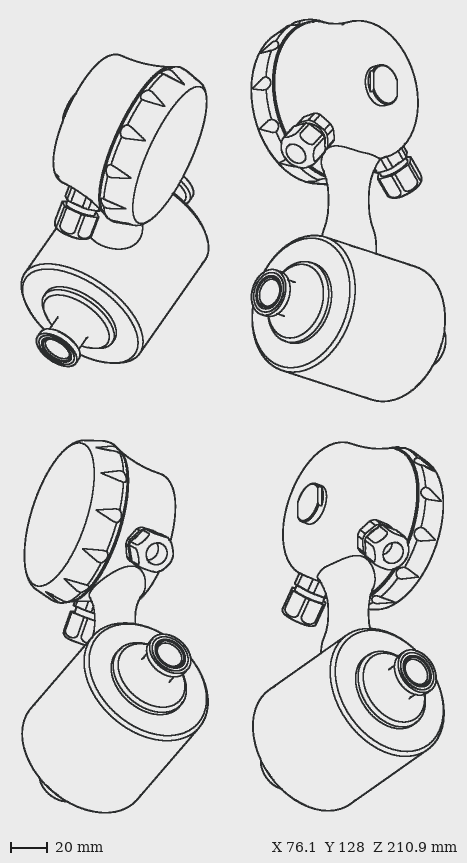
import cadquery as cq
import math


TANK_RADIUS = 76.1 / 2
TANK_HALF_LENGTH = 38.0
TANK_CHAMFER = 2.0
COLLAR_RADIUS = 45.0 / 2
COLLAR_END = 42.3
COLLAR_CHAMFER = 2.0
PIPE_RADIUS = 19.3 / 2
PIPE_ROOT_FILLET = 5.0
PIPE_END = 64.0
FERRULE_RADIUS = 25.4 / 2
FERRULE_RIM_WIDTH = 3.5
FERRULE_BACK_RADIUS = 21.0 / 2
FERRULE_BACK_WIDTH = 1.0
FERRULE_BLEND_LENGTH = 2.0
BORE_RADIUS = 15.0 / 2
BORE_MOUTH_RADIUS = 16.69 / 2
GASKET_GROOVE_OUTER_RADIUS = 22.0 / 2
GASKET_GROOVE_WIDTH = 1.7
GASKET_GROOVE_DEPTH = 0.8

NECK_BASE_RADIUS = 30.0 / 2
NECK_WAIST_RADIUS = 22.0 / 2
NECK_BASE_TOP = 41.6
NECK_FOOT_RADIUS = 14.85
NECK_FOOT_BOTTOM = 44.2
NECK_INFLECTION = 48.6
NECK_WAIST_BOTTOM = 65.2
NECK_WAIST_TOP = 69.5
NECK_FLARE_RADIUS = 42.0
NECK_TOP = 93.0

HEAD_Z = 127.3
BACK_X = -19.0
BACK_CORNER_FILLET = 5.0
BODY_BACK_RADIUS = 38.0
BACK_DISH_RADIUS = 25.4
BOSS_RADIUS = 30.0 / 2
BOSS_X = -21.9
BOSS_FACE_RADIUS = 23.5 / 2
BOSS_FACE_X = -22.5
BODY_FRONT_X = 14.8
BODY_FRONT_RADIUS = 43.7
SEAM_WIDTH = 0.8
SEAM_DEPTH = 0.5
LID_BACK_RADIUS = 43.9
LID_RIDGE_START_X = 18.9
LID_RIDGE_END_X = 21.25
LID_RIDGE_RADIUS = 45.65
LID_SHOULDER_X = 31.5
LID_SHOULDER_RADIUS = 42.9
LID_FACE_X = 34.2
LID_FACE_RADIUS = 81.2 / 2
LID_CROWN_X = 34.85

NOTCH_COUNT = 12
NOTCH_TIP_X = 31.7
NOTCH_TIP_LIFT = 0.1
NOTCH_HALF_ANGLE = 23.0
NOTCH_FLOOR_RISE = 5.4
NOTCH_CONE_LENGTH = 30.0

PLUG_RADIUS = 22.0 / 2
PLUG_RIM_RADIUS = 20.8 / 2
PLUG_RIM_X = -27.1
PLUG_TIP_X = -27.9
PLUG_RIM_CHAMFER = 0.6
PLUG_FLAT_WIDTH = 18.6
PLUG_FLAT_X = -24.6

GLAND_X = -2.06
GLAND_TILT = 45.0
GLAND_ROOT = 30.0
LOCKNUT_END = 44.7
LOCKNUT_FLATS = 19.5
LOCKNUT_ROUND = 20.8
GLAND_COLLAR_DIAMETER = 16.69
CAP_START = 48.3
CAP_END = 62.8
CAP_FLATS = 20.0
CAP_ROUND = 22.0
CAP_END_FILLET = 4.4
CABLE_HOLE_DIAMETER = 12.0


def tangent_arc_mid(start, end):
    """Middle of the arc from start to end that leaves start along the first axis."""
    run = end[0] - start[0]
    rise = end[1] - start[1]
    radius = (run**2 + rise**2) / (2 * rise)
    half_angle = math.atan2(rise, abs(run))
    return (
        start[0] + math.copysign(abs(radius) * math.sin(half_angle), run),
        start[1] + radius * (1 - math.cos(half_angle)),
    )


def make_tank():
    """Chamfered drum along Y."""
    far_end = cq.Workplane("XZ", origin=(0, TANK_HALF_LENGTH, 0))
    tank = far_end.circle(TANK_RADIUS).extrude(2 * TANK_HALF_LENGTH)
    return tank.faces("<Y or >Y").edges().chamfer(TANK_CHAMFER)


def make_pipe_end():
    """Solid collar, pipe and ferrule on the +Y side; profile points are (radius, y)."""
    root_depth = TANK_HALF_LENGTH / 2
    rim_y = PIPE_END - FERRULE_RIM_WIDTH
    back_y = rim_y - FERRULE_BACK_WIDTH
    blend_y = back_y - FERRULE_BLEND_LENGTH
    root_y = COLLAR_END + PIPE_ROOT_FILLET
    blend_start = (blend_y, PIPE_RADIUS)
    blend_end = (back_y, FERRULE_BACK_RADIUS)
    blend_mid = tangent_arc_mid(blend_start, blend_end)
    root_offset = PIPE_ROOT_FILLET * (1 - math.sqrt(0.5))
    return (
        cq.Workplane("XY")
        .moveTo(0, root_depth)
        .lineTo(COLLAR_RADIUS, root_depth)
        .lineTo(COLLAR_RADIUS, COLLAR_END - COLLAR_CHAMFER)
        .lineTo(COLLAR_RADIUS - COLLAR_CHAMFER, COLLAR_END)
        .lineTo(PIPE_RADIUS + PIPE_ROOT_FILLET, COLLAR_END)
        .threePointArc((PIPE_RADIUS + root_offset, COLLAR_END + root_offset), (PIPE_RADIUS, root_y))
        .lineTo(PIPE_RADIUS, blend_y)
        .threePointArc((blend_mid[1], blend_mid[0]), (FERRULE_BACK_RADIUS, back_y))
        .lineTo(FERRULE_RADIUS, rim_y)
        .lineTo(FERRULE_RADIUS, PIPE_END)
        .lineTo(0, PIPE_END)
        .close()
        .revolve(360, (0, 0), (0, 1))
    )


def make_bore():
    """Straight bore through the whole pipe."""
    far_end = cq.Workplane("XZ", origin=(0, PIPE_END, 0))
    return far_end.circle(BORE_RADIUS).extrude(2 * PIPE_END)


def make_bore_mouth():
    """Taper that opens the bore at the +Y ferrule face."""
    mouth_y = PIPE_END - (BORE_MOUTH_RADIUS - BORE_RADIUS)
    return (
        cq.Workplane("XY")
        .moveTo(0, mouth_y)
        .lineTo(BORE_RADIUS, mouth_y)
        .lineTo(BORE_MOUTH_RADIUS, PIPE_END)
        .lineTo(0, PIPE_END)
        .close()
        .revolve(360, (0, 0), (0, 1))
    )


def make_gasket_groove():
    """Ring of round section, sunk into the +Y ferrule face."""
    inner_radius = GASKET_GROOVE_OUTER_RADIUS - GASKET_GROOVE_WIDTH
    middle_radius = GASKET_GROOVE_OUTER_RADIUS - GASKET_GROOVE_WIDTH / 2
    return (
        cq.Workplane("XY")
        .moveTo(inner_radius, PIPE_END)
        .threePointArc(
            (middle_radius, PIPE_END - GASKET_GROOVE_DEPTH),
            (GASKET_GROOVE_OUTER_RADIUS, PIPE_END),
        )
        .close()
        .revolve(360, (0, 0), (0, 1))
    )


def make_neck():
    """Neck with an S-shaped foot and a flare into the head; points are (radius, z)."""
    foot_share = (NECK_INFLECTION - NECK_FOOT_BOTTOM) / (NECK_WAIST_BOTTOM - NECK_FOOT_BOTTOM)
    inflection_radius = NECK_FOOT_RADIUS - foot_share * (NECK_FOOT_RADIUS - NECK_WAIST_RADIUS)
    foot_mid = tangent_arc_mid(
        (NECK_FOOT_BOTTOM, NECK_FOOT_RADIUS), (NECK_INFLECTION, inflection_radius)
    )
    waist_mid = tangent_arc_mid(
        (NECK_WAIST_BOTTOM, NECK_WAIST_RADIUS), (NECK_INFLECTION, inflection_radius)
    )
    root_z = TANK_RADIUS / 2
    flare_height = NECK_TOP - NECK_WAIST_TOP
    flare_growth = NECK_FLARE_RADIUS - math.sqrt(NECK_FLARE_RADIUS**2 - flare_height**2)
    top_radius = NECK_WAIST_RADIUS + flare_growth
    flare_mid = tangent_arc_mid((NECK_WAIST_TOP, NECK_WAIST_RADIUS), (NECK_TOP, top_radius))
    return (
        cq.Workplane("XZ")
        .moveTo(0, root_z)
        .lineTo(NECK_BASE_RADIUS, root_z)
        .lineTo(NECK_BASE_RADIUS, NECK_BASE_TOP)
        .lineTo(NECK_FOOT_RADIUS, NECK_FOOT_BOTTOM)
        .threePointArc((foot_mid[1], foot_mid[0]), (inflection_radius, NECK_INFLECTION))
        .threePointArc((waist_mid[1], waist_mid[0]), (NECK_WAIST_RADIUS, NECK_WAIST_BOTTOM))
        .lineTo(NECK_WAIST_RADIUS, NECK_WAIST_TOP)
        .threePointArc((flare_mid[1], flare_mid[0]), (top_radius, NECK_TOP))
        .lineTo(0, NECK_TOP)
        .close()
        .revolve(360, (0, 0), (0, 1))
    )


def make_head():
    """Head body and lid around the X axis; profile points are (x, radius)."""
    corner_offset = BACK_CORNER_FILLET * (1 - math.sqrt(0.5))
    body_start = (BACK_X + BACK_CORNER_FILLET, BODY_BACK_RADIUS)
    body_end = (BODY_FRONT_X, BODY_FRONT_RADIUS)
    dish_mid = tangent_arc_mid((BACK_DISH_RADIUS, BACK_X), (BOSS_RADIUS, BOSS_X))
    lid_back_x = BODY_FRONT_X + SEAM_WIDTH
    seam_radius = BODY_FRONT_RADIUS - SEAM_DEPTH
    crown_mid = tangent_arc_mid((0, LID_CROWN_X), (LID_FACE_RADIUS, LID_FACE_X))
    return (
        cq.Workplane("XY")
        .moveTo(BOSS_FACE_X, 0)
        .lineTo(BOSS_FACE_X, BOSS_FACE_RADIUS)
        .lineTo(BOSS_X, BOSS_RADIUS)
        .threePointArc((dish_mid[1], dish_mid[0]), (BACK_X, BACK_DISH_RADIUS))
        .lineTo(BACK_X, BODY_BACK_RADIUS - BACK_CORNER_FILLET)
        .threePointArc((BACK_X + corner_offset, BODY_BACK_RADIUS - corner_offset), body_start)
        .threePointArc(tangent_arc_mid(body_start, body_end), body_end)
        .lineTo(BODY_FRONT_X, seam_radius)
        .lineTo(lid_back_x, seam_radius)
        .lineTo(lid_back_x, LID_BACK_RADIUS)
        .lineTo(LID_RIDGE_START_X, LID_RIDGE_RADIUS)
        .lineTo(LID_RIDGE_END_X, LID_RIDGE_RADIUS)
        .lineTo(LID_SHOULDER_X, LID_SHOULDER_RADIUS)
        .tangentArcPoint((LID_FACE_X, LID_FACE_RADIUS), relative=False)
        .threePointArc((crown_mid[1], crown_mid[0]), (LID_CROWN_X, 0))
        .close()
        .revolve(360, (0, 0), (1, 0))
    )


def make_notches():
    """Conical finger notches, their tips just above the sloping lid surface."""
    slope = (LID_RIDGE_RADIUS - LID_SHOULDER_RADIUS) / (LID_SHOULDER_X - LID_RIDGE_END_X)
    tip_radius = LID_SHOULDER_RADIUS + slope * (LID_SHOULDER_X - NOTCH_TIP_X) + NOTCH_TIP_LIFT
    axis_rise = math.radians(NOTCH_HALF_ANGLE + NOTCH_FLOOR_RISE)
    base_radius = NOTCH_CONE_LENGTH * math.tan(math.radians(NOTCH_HALF_ANGLE))
    cone = cq.Solid.makeCone(
        0,
        base_radius,
        NOTCH_CONE_LENGTH,
        pnt=cq.Vector(NOTCH_TIP_X, 0, tip_radius),
        dir=cq.Vector(-math.cos(axis_rise), 0, math.sin(axis_rise)),
    )
    notches = cq.Workplane("XY")
    for index in range(NOTCH_COUNT):
        notches = notches.add(cone.rotate((0, 0, 0), (1, 0, 0), index * 360 / NOTCH_COUNT))
    return notches


def make_plug():
    """Back plug with a shallow conical end and two flats."""
    plug = (
        cq.Workplane("XY")
        .moveTo(BACK_X, 0)
        .lineTo(BACK_X, PLUG_RADIUS)
        .lineTo(PLUG_RIM_X + PLUG_RIM_CHAMFER, PLUG_RADIUS)
        .lineTo(PLUG_RIM_X, PLUG_RIM_RADIUS)
        .lineTo(PLUG_TIP_X, 0)
        .close()
        .revolve(360, (0, 0), (1, 0))
    )
    flat_length = PLUG_FLAT_X - PLUG_TIP_X
    flat_cut = cq.Workplane("XY").box(flat_length, PLUG_RADIUS, 2 * PLUG_RADIUS)
    for side in (-1, 1):
        cut_y = side * (PLUG_FLAT_WIDTH + PLUG_RADIUS) / 2
        plug = plug.cut(flat_cut.translate((PLUG_FLAT_X - flat_length / 2, cut_y, 0)))
    return plug


def make_hex(across_flats, round_diameter, start, end):
    """Hexagon along Z with corners facing +X and -X, and the round that trims them."""
    corner_diameter = across_flats / math.cos(math.pi / 6)
    base = cq.Workplane("XY").workplane(offset=start)
    hexagon = base.polygon(6, corner_diameter).extrude(end - start)
    trimming_round = base.circle(round_diameter / 2).extrude(end - start)
    return hexagon, trimming_round


def make_gland():
    """Cable gland along +Z: locknut, round collar and cap nut with a cable hole."""
    lock_hex, lock_round = make_hex(LOCKNUT_FLATS, LOCKNUT_ROUND, GLAND_ROOT, LOCKNUT_END)
    collar = (
        cq.Workplane("XY")
        .workplane(offset=GLAND_ROOT)
        .circle(GLAND_COLLAR_DIAMETER / 2)
        .extrude(CAP_START - GLAND_ROOT)
    )
    cap_hex, cap_round = make_hex(CAP_FLATS, CAP_ROUND, CAP_START, CAP_END)
    cap = cap_hex.intersect(cap_round.faces(">Z").edges().fillet(CAP_END_FILLET))
    gland = lock_hex.intersect(lock_round).union(collar).union(cap)
    hole = (
        cq.Workplane("XY")
        .workplane(offset=CAP_START)
        .circle(CABLE_HOLE_DIAMETER / 2)
        .extrude(CAP_END - CAP_START)
    )
    return gland.cut(hole)


def place_gland(gland, side):
    """Turn a gland outward and down from the head axis, to +Y or -Y by side."""
    turn = side * (180 - GLAND_TILT)
    return gland.rotate((0, 0, 0), (1, 0, 0), turn).translate((GLAND_X, 0, HEAD_Z))


head = make_head().rotate((0, 0, 0), (1, 0, 0), 180 / NOTCH_COUNT)
for notch in make_notches().vals():
    head = head.cut(cq.Workplane(notch))
head = head.union(make_plug()).translate((0, 0, HEAD_Z))

pipe_end = make_pipe_end()
sensor = make_tank().union(pipe_end).union(pipe_end.mirror("XZ"))
sensor = sensor.union(make_neck()).union(head)
cable_gland = make_gland()
for gland_side in (-1, 1):
    sensor = sensor.union(place_gland(cable_gland, gland_side))

sensor = sensor.cut(make_bore())
for end_cut in (make_bore_mouth(), make_gasket_groove()):
    sensor = sensor.cut(end_cut).cut(end_cut.mirror("XZ"))

result = sensor